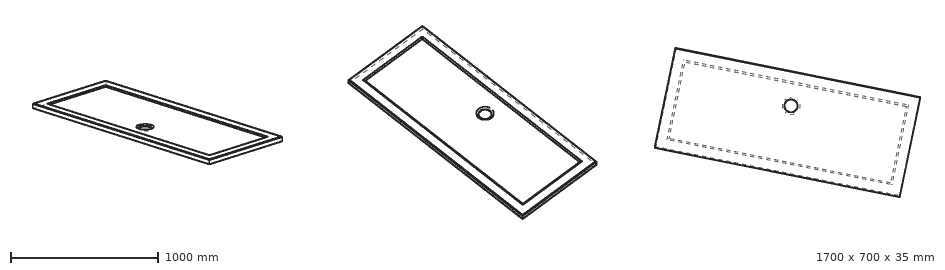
import cadquery as cq
import math

length = 1700.0
width = 700.0
height = 35.0
edge_chamfer = 5.0

lip_inset = 70.0
floor_inset = 82.0

rim_fall = 2.0
lip_fall = 7.6
floor_fall = 12.0
drain_fall = 7.0

drain_y = -119.0
drain_radius = 60.0
hole_radius = 45.0
back_angle = 25.0
front_angle = 27.0
seam_fraction = 0.41

lip_z = height - rim_fall
floor_z = lip_z - lip_fall
drain_z = floor_z - floor_fall
hole_z = drain_z - drain_fall


def rectangular_funnel(top_inset, top_z, bottom_inset, bottom_z):
    """Tapered block between two rectangles inset from the tray sides."""
    return (
        cq.Workplane("XY", origin=(0, 0, bottom_z))
        .rect(length - 2 * bottom_inset, width - 2 * bottom_inset)
        .workplane(offset=top_z - bottom_z)
        .rect(length - 2 * top_inset, width - 2 * top_inset)
        .loft(ruled=True)
    )


def drain_point(angle):
    """Point on the drain's upper circle, with the angle in degrees from +X."""
    turn = math.radians(angle)
    return cq.Vector(
        drain_radius * math.cos(turn), drain_y + drain_radius * math.sin(turn), drain_z
    )


def floor_funnel():
    """Volume above the sloping floor, whose panels run from the rectangle to the drain."""
    half_x = length / 2 - floor_inset
    half_y = width / 2 - floor_inset
    seam_y = half_y - 2 * half_y * seam_fraction
    seam_angle = back_angle - (back_angle + front_angle) * seam_fraction

    boundaries = [
        (half_x, -half_y, -front_angle),
        (half_x, seam_y, seam_angle),
        (half_x, half_y, back_angle),
        (-half_x, half_y, 180 - back_angle),
        (-half_x, seam_y, 180 - seam_angle),
        (-half_x, -half_y, 180 + front_angle),
    ]
    faces = []
    outer_edges = []
    drain_arcs = []
    for index, (x, y, angle) in enumerate(boundaries):
        next_x, next_y, next_angle = boundaries[(index + 1) % len(boundaries)]
        if next_angle < angle:
            next_angle += 360
        outer = cq.Edge.makeLine(cq.Vector(x, y, floor_z), cq.Vector(next_x, next_y, floor_z))
        arc = cq.Edge.makeThreePointArc(
            drain_point(angle), drain_point((angle + next_angle) / 2), drain_point(next_angle)
        )
        faces.append(cq.Face.makeRuledSurface(outer, arc))
        outer_edges.append(outer)
        drain_arcs.append(arc)
    faces.append(cq.Face.makeFromWires(cq.Wire.assembleEdges(outer_edges)))
    faces.append(cq.Face.makeFromWires(cq.Wire.assembleEdges(drain_arcs)))
    return cq.Workplane(obj=cq.Solid.makeSolid(cq.Shell.makeShell(faces)).fix())


def drain_cutter():
    """Conical drain seat with a straight hole through the underside."""
    cone = cq.Solid.makeCone(
        hole_radius, drain_radius, drain_fall, pnt=cq.Vector(0, drain_y, hole_z)
    )
    hole = cq.Solid.makeCylinder(hole_radius, hole_z, pnt=cq.Vector(0, drain_y, 0))
    return cq.Workplane(obj=cone.fuse(hole))


tray = (
    cq.Workplane("XY")
    .box(length, width, height, centered=(True, True, False))
    .faces(">Z")
    .edges()
    .chamfer(edge_chamfer)
)

tray = tray.cut(rectangular_funnel(edge_chamfer, height, lip_inset, lip_z))
tray = tray.cut(rectangular_funnel(lip_inset, lip_z, floor_inset, floor_z))
tray = tray.cut(floor_funnel())
tray = tray.cut(drain_cutter())

result = tray